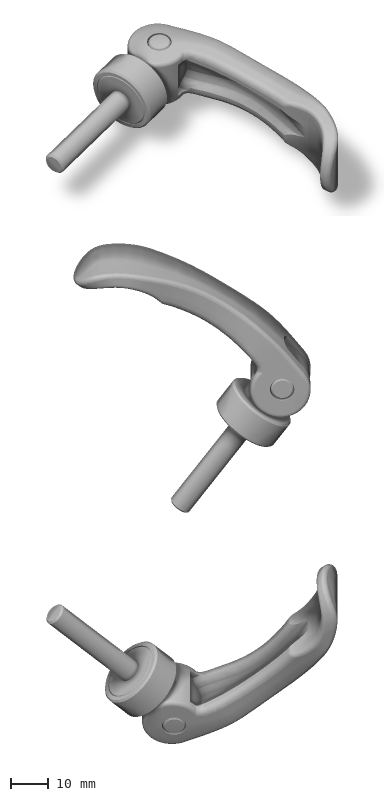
import cadquery as cq
import math


cam_radius = 8.0
cam_drop = 0.9
cam_half_width = 8.0
cam_bottom = -cam_drop - cam_radius
upper_tangent_angle = 107

neck_x = 8.1
under_arm_start = (10.1, 1.45)
ridge_point = (40.35, 1.5)
waist_end_x = 52.0
grip_half_width = 10.0
outer_tip = (62.95, -9.4)
inner_tip = (59.85, -9.4)
tip_start_y = 0.3
tip_length = 9.25
rim_fillet = 1.1
under_arm_fillet = 1.7

slot_half_width = 3.8
slot_end_radius = 6.15
pin_hole_radius = 3.25
pin_hole_drop = 0.11

collar_radius = 9.5
collar_chamfer = 0.5
collar_height = 8.4
collar_clearance = 0.15
collar_top = cam_bottom - collar_clearance
collar_bottom = collar_top - collar_height

head_radius = 6.1
head_top_radius = 7.9
flange_radius = 7.95
flange_chamfer = 0.35
flange_top = collar_bottom + collar_height / 2
stud_radius = 3.0
stud_end = -47.35
stud_chamfer = 0.5
pin_radius = 3.0
pin_chamfer = 0.4

block = 144.4
trim_depth = 28.9


def cylinder_along_y(radius, start, end):
    """Cylinder on the stud axis between two heights."""
    return cq.Workplane("XZ", origin=(0, end, 0)).circle(radius).extrude(end - start)


def cylinder_along_z(radius, center_y, half_length):
    """Cylinder along Z, centred on the XY plane."""
    return cq.Workplane("XY").center(0, center_y).circle(radius).extrude(half_length, both=True)


def half_space_below(y):
    """Large block that fills everything below a height."""
    return cq.Workplane("XY").box(block, block, block).translate((0, y - block / 2, 0))


def slab(half_width):
    """Large plate parallel to the XY plane, used for slots and flats."""
    return cq.Workplane("XY").box(block, block, 2 * half_width)


def arm_side_blank():
    """Side outline of the bowed arm and the hooked grip, running into the cam at both flanks."""
    angle = math.radians(upper_tangent_angle)
    tangent_point = (cam_radius * math.cos(angle), cam_radius * math.sin(angle) - cam_drop)
    tangent = (math.sin(angle), -math.cos(angle))
    tip_direction = (0.2, -1)
    back = [(neck_x, 9.75), (24.5, 11.2), (40.35, 9.4), (47.15, 7.3), (53.7, 4.3), (59.2, 0.1), outer_tip]
    return (
        cq.Workplane("XY", origin=(0, 0, -trim_depth / 2))
        .moveTo(*tangent_point)
        .spline(back, tangents=[tangent, tip_direction], includeCurrent=True)
        .lineTo(*inner_tip)
        .threePointArc((53.85, -0.8), ridge_point)
        .threePointArc((26.0, 3.5), under_arm_start)
        .threePointArc((8.6, 0.6), (cam_radius, -cam_drop))
        .lineTo(0, -cam_drop)
        .close()
        .extrude(trim_depth)
    )


def arm_plan_blank():
    """Waisted outline of the lever seen along the stud axis, wide at the grip."""
    end_x = outer_tip[0] + 3.6
    waist = [(17.5, 7.3), (27.1, 6.65), (34.65, 7.15), (40.35, 8.0), (46.2, 9.25), (waist_end_x, grip_half_width)]
    return_waist = [(x, -z) for x, z in reversed(waist[:-1])] + [(neck_x, -cam_half_width)]
    return (
        cq.Workplane("XZ", origin=(0, trim_depth / 2, 0))
        .moveTo(-cam_radius, -cam_half_width)
        .lineTo(-cam_radius, cam_half_width)
        .lineTo(neck_x, cam_half_width)
        .spline(waist, tangents=[(1, 0), (1, 0)], includeCurrent=True)
        .lineTo(end_x, grip_half_width)
        .lineTo(end_x, -grip_half_width)
        .lineTo(waist_end_x, -grip_half_width)
        .spline(return_waist, tangents=[(-1, 0), (-1, 0)], includeCurrent=True)
        .close()
        .extrude(trim_depth)
    )


def grip_end_trim():
    """Everything outside the half ellipse that ends the grip."""
    start_x = ridge_point[0] + 2.9
    corner = (start_x, tip_start_y - trim_depth, -trim_depth / 2)
    surround = cq.Workplane("XY").box(trim_depth, trim_depth, trim_depth, centered=False).translate(corner)
    ellipse = cq.Workplane("YZ", origin=(start_x, tip_start_y, 0)).ellipse(tip_length, grip_half_width)
    return surround.cut(ellipse.extrude(trim_depth))


def is_rim(edge):
    """True for the edges that follow the side outline outside the cam."""
    bounds = edge.BoundingBox()
    return min(bounds.xlen, bounds.ylen) > 0.01 and bounds.xmax > neck_x + 0.2


def is_under_arm(edge):
    """True for the rims along the underside of the arm, between cam and ridge."""
    bounds = edge.BoundingBox()
    return bounds.xmax < ridge_point[0] + 0.1 and bounds.ymax < 4.3


def rounded_arm():
    """Arm and grip with rounded rims, more generously on the underside of the arm."""
    arm = arm_side_blank().intersect(arm_plan_blank()).cut(grip_end_trim())
    rims = [edge for edge in arm.edges().vals() if is_rim(edge)]
    under_rims = [edge for edge in rims if is_under_arm(edge)]
    other_rims = [edge for edge in rims if not is_under_arm(edge)]
    arm = arm.newObject(under_rims).fillet(under_arm_fillet)
    return arm.newObject(other_rims).fillet(rim_fillet)


def lever_blank():
    """Arm joined to the cam; one half is mirrored so that both cheeks are alike."""
    cam = cylinder_along_z(cam_radius, -cam_drop, cam_half_width).faces("|Z").edges().fillet(rim_fillet)
    lower_side = cq.Workplane("XY").box(block, block, block).translate((0, 0, -block / 2))
    half = rounded_arm().union(cam).intersect(lower_side)
    return half.union(half.mirror("XY"))


def groove_section(x, floor, wall, mouth):
    """Groove outline at x: flat floor, sloping walls and lips that flare out to the mouth.

    Floor, wall and mouth are each given as (height, half width).
    """
    lip_y = wall[0] + 0.62 * (mouth[0] - wall[0])
    lip_z = wall[1] + 0.37 * (mouth[1] - wall[1])
    open_y = mouth[0] - 2.9
    return (
        cq.Workplane("YZ", origin=(x, 0, 0))
        .moveTo(floor[0], -floor[1])
        .lineTo(*floor)
        .lineTo(*wall)
        .threePointArc((lip_y, lip_z), mouth)
        .lineTo(open_y, mouth[1])
        .lineTo(open_y, -mouth[1])
        .lineTo(mouth[0], -mouth[1])
        .threePointArc((lip_y, -lip_z), (wall[0], -wall[1]))
        .close()
        .val()
    )


def arm_groove():
    """Groove under the arm: deepest and narrowest at the waist, running out in the grip."""
    sections = [
        groove_section(6.5, floor=(3.6, 1.6), wall=(2.3, 3.3), mouth=(0.15, 5.7)),
        groove_section(17.3, floor=(6.2, 0.9), wall=(4.8, 2.5), mouth=(2.6, 5.05)),
        groove_section(27.1, floor=(6.8, 0.11), wall=(5.2, 1.8), mouth=(3.1, 4.55)),
        groove_section(ridge_point[0], floor=(4.2, 1.1), wall=(3.2, 2.71), mouth=(1.2, 5.35)),
        groove_section(46.6, floor=(2.1, 1.65), wall=(1.8, 2.0), mouth=(0.4, 3.1)),
    ]
    return cq.Workplane(cq.Solid.makeLoft(sections))


def stud_slot():
    """Slot through the cam for the stud head, open to -X and rounded about the stud axis."""
    slot_top = 10.1
    open_side = cq.Workplane("XY").box(block, block, block).translate((-block / 2, slot_top - block / 2, 0))
    round_end = cylinder_along_y(slot_end_radius, cam_bottom - 0.7, slot_top)
    return open_side.union(round_end).intersect(slab(slot_half_width))


def make_lever():
    pin_hole = cylinder_along_z(pin_hole_radius, -pin_hole_drop, cam_half_width + 0.7)
    return lever_blank().cut(arm_groove()).cut(stud_slot()).cut(pin_hole)


def stud_head():
    """Round-topped head; the part above the collar has two flats that fit the slot."""
    head = cylinder_along_y(head_radius, flange_top, head_top_radius)
    rounding = cylinder_along_z(head_top_radius, -cam_drop, head_radius)
    head = head.intersect(rounding.union(half_space_below(-cam_drop)))
    return head.intersect(slab(slot_half_width).union(half_space_below(collar_top)))


def make_stud():
    """Shank, flange, head and cross pin in one piece."""
    shank = cylinder_along_y(stud_radius, stud_end, collar_bottom).faces("<Y").chamfer(stud_chamfer)
    flange = cylinder_along_y(flange_radius, collar_bottom, flange_top).faces("<Y").chamfer(flange_chamfer)
    pin = cylinder_along_z(pin_radius, 0, cam_half_width).faces("|Z").chamfer(pin_chamfer)
    return shank.union(flange).union(stud_head()).union(pin)


def make_collar():
    """Ring around the stud head with a recess for the flange."""
    ring = cylinder_along_y(collar_radius, collar_bottom, collar_top).faces("|Y").chamfer(collar_chamfer)
    bore = cylinder_along_y(head_radius, collar_bottom, collar_top)
    recess = cylinder_along_y(flange_radius, collar_bottom, flange_top)
    return ring.cut(bore).cut(recess)


lever = make_lever()
stud = make_stud()
collar = make_collar()

result = cq.Compound.makeCompound([lever.val(), stud.val(), collar.val()])